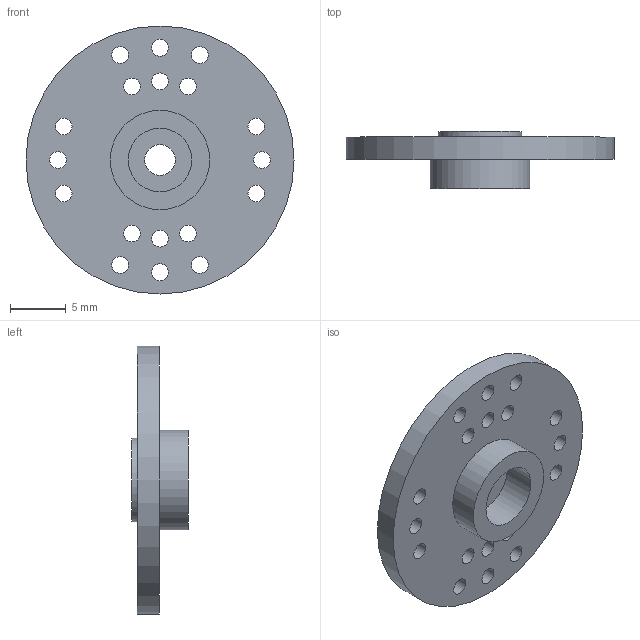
import cadquery as cq
import math

disc_diameter = 24.0
disc_thickness = 2.0
hub_diameter = 8.9
hub_length = 2.6
boss_diameter = 7.5
boss_length = 0.5

bore_diameter = 2.75
socket_diameter = 5.7
socket_depth = 3.0

mounting_hole_diameter = 1.5
hole_groups = [
    (10.05, 20.8, (90, 270)),
    (7.05, 20.8, (90, 270)),
    (9.13, 19.2, (0, 180)),
]

hub_face_y = -hub_length
boss_face_y = disc_thickness + boss_length


def cylinder(diameter, start_y, end_y, x=0.0, z=0.0):
    """Solid cylinder parallel to Y between two stations."""
    length = end_y - start_y
    base = cq.Vector(x, start_y, z)
    return cq.Workplane(cq.Solid.makeCylinder(diameter / 2, length, base, cq.Vector(0, 1, 0)))


def make_body():
    """Disc with the hub in front and the low boss behind."""
    disc = cylinder(disc_diameter, 0.0, disc_thickness)
    hub = cylinder(hub_diameter, hub_face_y, disc_thickness)
    boss = cylinder(boss_diameter, 0.0, boss_face_y)
    return disc.union(hub).union(boss)


def cut_center(body):
    """Through bore and the socket in the hub."""
    bore = cylinder(bore_diameter, hub_face_y, boss_face_y)
    socket = cylinder(socket_diameter, hub_face_y, hub_face_y + socket_depth)
    return body.cut(bore).cut(socket)


def cut_mounting_holes(body):
    """Three through holes per group, spaced evenly about the group centre."""
    for radius, spacing, center_angles in hole_groups:
        for center_angle in center_angles:
            for step in (-1, 0, 1):
                angle = math.radians(center_angle + step * spacing)
                x = radius * math.cos(angle)
                z = radius * math.sin(angle)
                body = body.cut(cylinder(mounting_hole_diameter, 0.0, disc_thickness, x, z))
    return body


result = cut_mounting_holes(cut_center(make_body()))